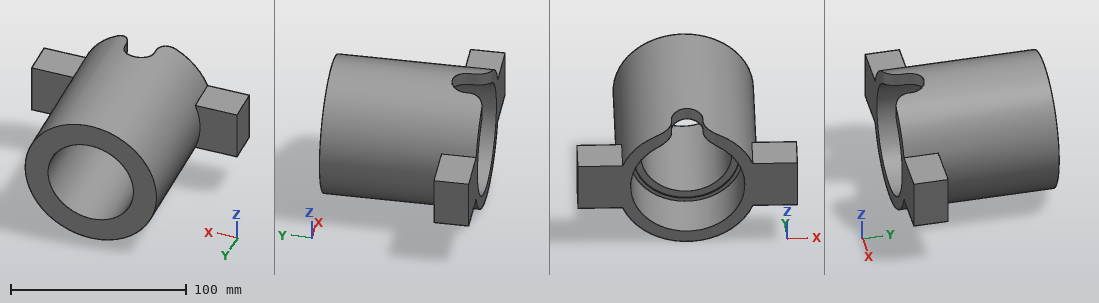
import cadquery as cq

sleeve_length = 90.0
outer_diameter = 80.0
socket_diameter = 65.0
step_diameter = 60.6
bore_diameter = 52.0
socket_depth = 28.0
step_depth = 29.0

lug_span = 125.0
lug_height = 30.0
lug_length = 20.0

notch_depth = lug_length
notch_radius = 9.0
flare_radius = notch_radius


def cylinder(diameter, length):
    """Cylinder running from the front face toward +Y."""
    return cq.Workplane("XZ").circle(diameter / 2).extrude(-length)


def notch_cutter():
    """Round-ended slot whose mouth flares out tangent to the front face."""
    mouth = notch_radius + flare_radius
    end_center = notch_depth - notch_radius
    diagonal = flare_radius * 0.5 ** 0.5
    return (
        cq.Workplane("XY")
        .moveTo(-mouth, 0)
        .threePointArc((-mouth + diagonal, flare_radius - diagonal), (-notch_radius, flare_radius))
        .lineTo(-notch_radius, end_center)
        .threePointArc((0, notch_depth), (notch_radius, end_center))
        .lineTo(notch_radius, flare_radius)
        .threePointArc((mouth - diagonal, flare_radius - diagonal), (mouth, 0))
        .close()
        .extrude(outer_diameter)
    )


lugs = cq.Workplane("XY").box(lug_span, lug_length, lug_height).translate((0, lug_length / 2, 0))

result = (
    cylinder(outer_diameter, sleeve_length)
    .union(lugs)
    .cut(cylinder(socket_diameter, socket_depth))
    .cut(cylinder(step_diameter, step_depth))
    .cut(cylinder(bore_diameter, sleeve_length))
    .cut(notch_cutter())
)